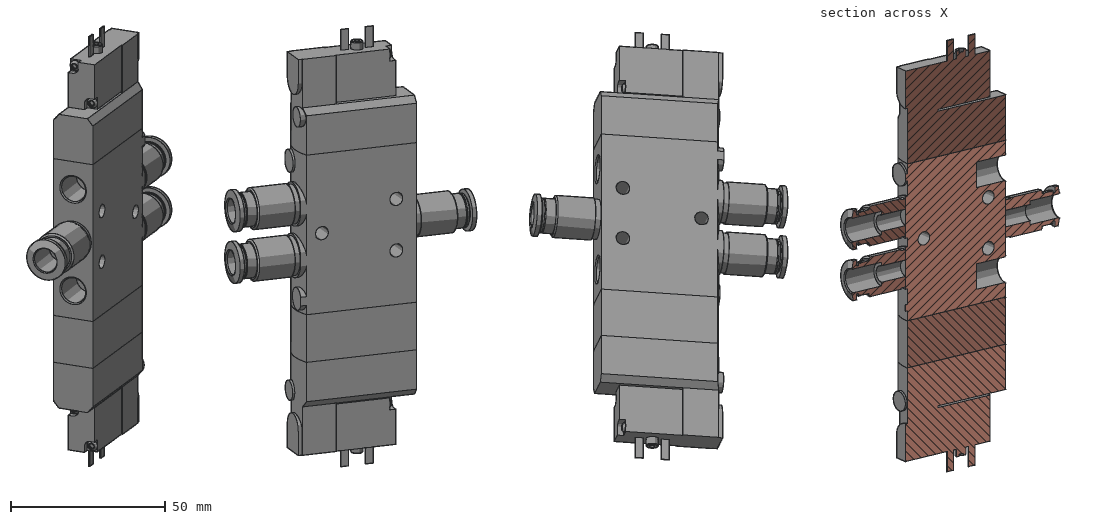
import cadquery as cq

WIDTH = 14.0
CREST_DEPTH = 39.7
SIDE_DEPTH = 38.3
PAD_DEPTH = 40.4

STACK_HALF = 50.6
CAP_JOINT = 35.1
SPACER_HEIGHT = 16.1
MAIN_BOTTOM = SPACER_HEIGHT - CAP_JOINT
MAIN_MIDDLE = (CAP_JOINT + MAIN_BOTTOM) / 2

PORT_PITCH = 17.5
PORT_DIAMETER = 8.6
PORT_RIM_DIAMETER = 9.5
PORT_RIM_DEPTH = 0.5
PORT_DEPTH = 11.8
MOUNT_HOLE_DIAMETER = 4.5
MOUNT_FRONT_Y = 7.1
MOUNT_BACK_Y = 33.0
FITTING_PAD_DIAMETER = 14.5
PAD_ROOT = 35.5
SCREW_PAD_DIAMETER = 7.5
SCREW_PAD_X = 3.5
SCREW_PAD_Z = 22.3

CHAMFER_HEIGHT = 2.2
BASE_WIDTH = 10.2
BASE_FRONT_Y = 27.2
PILOT_TOP = 67.0
CAP_SCREW_DIAMETER = 6.7
CAP_SCREW_X = 3.4
CAP_SCREW_Z = 47.2
TAB_WIDTH = 9.8
TAB_END_Z = 54.0

COIL_WIDTH = 9.5
COIL_FRONT_Y = 6.4
COIL_GAP = 0.5
TERMINAL_PITCH = 8.6
TERMINAL_WIDTH = 2.7
TERMINAL_THICKNESS = 0.5
TERMINAL_TIP = 74.0
TERMINAL_MIDDLE_Y = 18.0
BUTTON_DIAMETER = 4.0
BUTTON_HEIGHT = 2.7
BUTTON_CHAMFER = 0.3
BUTTON_HOLE_DIAMETER = 1.6
BUTTON_HOLE_DEPTH = 0.7
RECESS_DIAMETER = 4.0
RECESS_DEPTH = 2.0
RECESS_X = 3.1
RECESS_INSET = 2.0
COIL_SCREW_DIAMETER = 3.5
COIL_SCREW_TOP_DIAMETER = 2.0
COIL_SCREW_HEIGHT = 0.9
SOCKET_DIAMETER = 1.6
SOCKET_DEPTH = 0.6

COLLAR_DIAMETER = 13.0
COLLAR_END = 1.8
SLEEVE_DIAMETER = 13.8
SLEEVE_END = 14.2
SHOULDER_DIAMETER = 12.5
SHOULDER_END = 14.7
NECK_DIAMETER = 11.4
NECK_GROOVE_DIAMETER = 11.1
NECK_GROOVE_START = 17.9
NECK_GROOVE_END = 18.4
NECK_END = 19.0
RING_DIAMETER = 9.8
RING_END = 19.5
FLANGE_RIM_END = 21.0
FITTING_LENGTH = 21.6
TUBE_DIAMETER = 8.0
TUBE_MOUTH_DIAMETER = 8.6
TUBE_MOUTH_END = 21.2
TUBE_DEPTH = 11.8
BORE_DIAMETER = 5.5


def box(x0, x1, y0, y1, z0, z1):
    return cq.Workplane("XY").box(x1 - x0, y1 - y0, z1 - z0, centered=False).translate((x0, y0, z0))


def rod(x, z, diameter, y0, y1):
    """Round bar along Y from y0 to y1."""
    return cq.Workplane("XZ", origin=(x, y0, z)).circle(diameter / 2).extrude(y0 - y1)


def section(bottom, top):
    """Slice of the valve profile: flat front and sides, gently curved back."""
    half = WIDTH / 2
    return (
        cq.Workplane("XY", origin=(0, 0, bottom))
        .moveTo(-half, 0)
        .lineTo(half, 0)
        .lineTo(half, SIDE_DEPTH)
        .threePointArc((0, CREST_DEPTH), (-half, SIDE_DEPTH))
        .close()
        .extrude(top - bottom)
    )


def within_width(body):
    """Trim pads that reach past the flat sides of the valve."""
    half = WIDTH / 2
    return body.intersect(box(-half, half, 0, PAD_DEPTH, -STACK_HALF, STACK_HALF))


def back_port_heights():
    return (MAIN_MIDDLE - PORT_PITCH / 2, MAIN_MIDDLE + PORT_PITCH / 2)


def main_section():
    body = section(MAIN_BOTTOM, CAP_JOINT)
    for z in back_port_heights():
        body = body.union(rod(0, z, FITTING_PAD_DIAMETER, PAD_ROOT, PAD_DEPTH))
    for side in (-1, 1):
        z = MAIN_MIDDLE + side * SCREW_PAD_Z
        body = body.union(rod(side * SCREW_PAD_X, z, SCREW_PAD_DIAMETER, PAD_ROOT, PAD_DEPTH))
    body = within_width(body)

    for z in (MAIN_MIDDLE - PORT_PITCH, MAIN_MIDDLE + PORT_PITCH):
        rim = (
            cq.Workplane("XZ", origin=(0, 0, z))
            .circle(PORT_RIM_DIAMETER / 2)
            .workplane(offset=-PORT_RIM_DEPTH)
            .circle(PORT_DIAMETER / 2)
            .loft()
        )
        body = body.cut(rod(0, z, PORT_DIAMETER, 0, PORT_DEPTH)).cut(rim)

    mount_holes = [(MOUNT_BACK_Y, MAIN_MIDDLE)] + [(MOUNT_FRONT_Y, z) for z in back_port_heights()]
    drills = (
        cq.Workplane("YZ", origin=(-WIDTH / 2, 0, 0))
        .pushPoints(mount_holes)
        .circle(MOUNT_HOLE_DIAMETER / 2)
        .extrude(WIDTH)
    )
    return body.cut(drills)


def shouldered_cap():
    shoulder_z = STACK_HALF - CHAMFER_HEIGHT
    outline = (
        cq.Workplane("XZ")
        .polyline([
            (-WIDTH / 2, CAP_JOINT),
            (WIDTH / 2, CAP_JOINT),
            (WIDTH / 2, shoulder_z),
            (BASE_WIDTH / 2, STACK_HALF),
            (-BASE_WIDTH / 2, STACK_HALF),
            (-WIDTH / 2, shoulder_z),
        ])
        .close()
        .extrude(-CREST_DEPTH)
    )
    cap = section(CAP_JOINT, STACK_HALF).intersect(outline)
    screw = rod(-CAP_SCREW_X, CAP_SCREW_Z, CAP_SCREW_DIAMETER, PAD_ROOT, PAD_DEPTH)
    return cap.union(screw)


def pilot_base():
    half = BASE_WIDTH / 2
    base = section(CAP_JOINT, PILOT_TOP).intersect(
        box(-half, half, BASE_FRONT_Y, CREST_DEPTH, CAP_JOINT, PILOT_TOP)
    )
    tab_half = TAB_WIDTH / 2
    tab_round_z = TAB_END_Z + tab_half
    tab = box(-tab_half, tab_half, PAD_ROOT, PAD_DEPTH, tab_round_z, PILOT_TOP)
    tab = tab.union(rod(0, tab_round_z, TAB_WIDTH, PAD_ROOT, PAD_DEPTH))
    return base.union(tab)


def coil():
    half = COIL_WIDTH / 2
    bottom = STACK_HALF + COIL_GAP
    body = box(-half, half, COIL_FRONT_Y, BASE_FRONT_Y, bottom, PILOT_TOP)
    floor_y = COIL_FRONT_Y + RECESS_DEPTH
    radius = RECESS_DIAMETER / 2
    for side, end in ((-1, PILOT_TOP), (1, bottom)):
        x = side * RECESS_X
        z = end + side * RECESS_INSET
        side_x = sorted((x, side * WIDTH / 2))
        end_x = sorted((x - side * radius, side * WIDTH / 2))
        end_z = sorted((z, end))
        recess = rod(x, z, RECESS_DIAMETER, COIL_FRONT_Y, floor_y)
        recess = recess.union(box(*side_x, COIL_FRONT_Y, floor_y, z - radius, z + radius))
        recess = recess.union(box(*end_x, COIL_FRONT_Y, floor_y, *end_z))
        head_y = floor_y - COIL_SCREW_HEIGHT
        bevel = (COIL_SCREW_DIAMETER - COIL_SCREW_TOP_DIAMETER) / 2
        screw = rod(x, z, COIL_SCREW_DIAMETER, head_y, floor_y).faces("<Y").chamfer(bevel)
        socket = rod(x, z, SOCKET_DIAMETER, head_y, head_y + SOCKET_DEPTH)
        body = body.cut(recess).union(screw).cut(socket)
    return body


def terminals():
    half = TERMINAL_THICKNESS / 2
    blades = cq.Workplane("XY")
    for side in (-1, 1):
        y = TERMINAL_MIDDLE_Y + side * TERMINAL_PITCH / 2
        reach = TERMINAL_WIDTH / 2
        blades = blades.add(box(-half, half, y - reach, y + reach, PILOT_TOP, TERMINAL_TIP))
    return blades.combine()


def override_button():
    return (
        cq.Workplane("XY", origin=(0, TERMINAL_MIDDLE_Y, PILOT_TOP))
        .circle(BUTTON_DIAMETER / 2)
        .extrude(BUTTON_HEIGHT)
        .faces(">Z")
        .chamfer(BUTTON_CHAMFER)
        .faces(">Z")
        .workplane()
        .hole(BUTTON_HOLE_DIAMETER, BUTTON_HOLE_DEPTH)
    )


def pilot_cap():
    """Upper end of the valve: cap, pilot base and coil in one solid."""
    return shouldered_cap().union(pilot_base()).union(coil()).union(terminals()).union(override_button())


def fitting():
    """Push-in tube fitting standing on Y = 0 and pointing along +Y."""
    profile = [
        (BORE_DIAMETER, 0),
        (COLLAR_DIAMETER, 0),
        (COLLAR_DIAMETER, COLLAR_END),
        (SLEEVE_DIAMETER, COLLAR_END),
        (SLEEVE_DIAMETER, SLEEVE_END),
        (SHOULDER_DIAMETER, SHOULDER_END),
        (NECK_DIAMETER, SHOULDER_END),
        (NECK_DIAMETER, NECK_GROOVE_START),
        (NECK_GROOVE_DIAMETER, NECK_GROOVE_START),
        (NECK_GROOVE_DIAMETER, NECK_GROOVE_END),
        (NECK_DIAMETER, NECK_GROOVE_END),
        (NECK_DIAMETER, NECK_END),
        (RING_DIAMETER, NECK_END),
        (RING_DIAMETER, RING_END),
        (SLEEVE_DIAMETER, RING_END),
        (SLEEVE_DIAMETER, FLANGE_RIM_END),
        (TUBE_MOUTH_DIAMETER, FITTING_LENGTH),
        (TUBE_DIAMETER, TUBE_MOUTH_END),
        (TUBE_DIAMETER, FITTING_LENGTH - TUBE_DEPTH),
        (BORE_DIAMETER, FITTING_LENGTH - TUBE_DEPTH),
    ]
    outline = [(diameter / 2, y) for diameter, y in profile]
    return cq.Workplane("XY").polyline(outline).close().revolve(360, (0, 0, 0), (0, 1, 0))


main_body = main_section()
spacer = section(-CAP_JOINT, MAIN_BOTTOM)

pilot_caps = cq.Workplane("XY")
for turn in (0, 180):
    pilot_caps = pilot_caps.add(pilot_cap().rotate((0, 0, 0), (0, 1, 0), turn))

fittings = cq.Workplane("XY")
for z in back_port_heights():
    fittings = fittings.add(fitting().translate((0, PAD_DEPTH, z)))
front_fitting = fitting().rotate((0, 0, 0), (0, 0, 1), 180)
fittings = fittings.add(front_fitting.translate((0, 0, MAIN_MIDDLE)))

result = cq.Compound.makeCompound([
    main_body.val(),
    spacer.val(),
    *pilot_caps.vals(),
    *fittings.vals(),
])